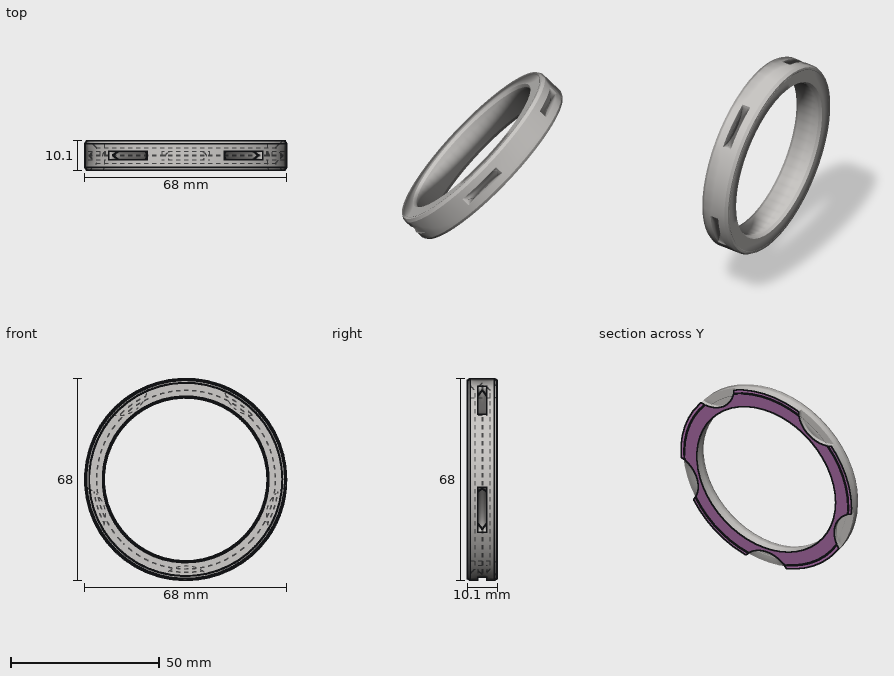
import cadquery as cq
import math

outer_radius = 34.0
bore_radius = 27.5
width = 10.05
edge_length = 1.0
edge_depth = edge_length * math.tan(math.radians(30))

joint_radius = 32.5
joint_gap = 0.15
ridge_flat = 0.35

slot_count = 5
first_slot_angle = 54.0
slot_width = 3.0
slot_chord = 16.05
slot_floor_radius = 10.0

half_width = width / 2
valley_offset = half_width / 2 + ridge_flat / 4
valley_depth = half_width - valley_offset


def joint_profile(ridge_radius):
    """Points of the joint line as (radius, y), from the front face to the back face."""
    valley_radius = ridge_radius - valley_depth
    return [
        (ridge_radius, -half_width),
        (valley_radius, -valley_offset),
        (ridge_radius, -ridge_flat / 2),
        (ridge_radius, ridge_flat / 2),
        (valley_radius, valley_offset),
        (ridge_radius, half_width),
    ]


def revolve_about_y(points):
    """Closed (radius, y) profile turned about the Y axis."""
    return cq.Workplane("XY").polyline(points).close().revolve(360, (0, 0, 0), (0, 1, 0))


def slot_cutters():
    """Discs with axes along Y, set outside the rim so that each one mills one slot."""
    half_chord = slot_chord / 2
    mouth_distance = math.sqrt(outer_radius**2 - half_chord**2)
    axis_distance = mouth_distance + math.sqrt(slot_floor_radius**2 - half_chord**2)
    disc = (
        cq.Workplane("XZ")
        .center(axis_distance, 0)
        .circle(slot_floor_radius)
        .extrude(slot_width / 2, both=True)
    )
    cutters = []
    for index in range(slot_count):
        angle = first_slot_angle + index * 360 / slot_count
        cutters.append(disc.rotate((0, 0, 0), (0, 1, 0), -angle))
    return cutters


def cut_slots(ring):
    for cutter in slot_cutters():
        ring = ring.cut(cutter)
    return ring


def make_outer_ring():
    """Rim with bevelled outer edges and the zigzag on its inside."""
    rim = [
        (outer_radius - edge_depth, half_width),
        (outer_radius, half_width - edge_length),
        (outer_radius, edge_length - half_width),
        (outer_radius - edge_depth, -half_width),
    ]
    return cut_slots(revolve_about_y(joint_profile(joint_radius + joint_gap) + rim))


def make_inner_ring():
    """Ring with a bevelled bore and the zigzag on its outside."""
    bore = [
        (bore_radius + edge_depth, half_width),
        (bore_radius, half_width - edge_length),
        (bore_radius, edge_length - half_width),
        (bore_radius + edge_depth, -half_width),
    ]
    return cut_slots(revolve_about_y(joint_profile(joint_radius) + bore))


outer_ring = make_outer_ring()
inner_ring = make_inner_ring()

result = cq.Compound.makeCompound([outer_ring.val(), inner_ring.val()])